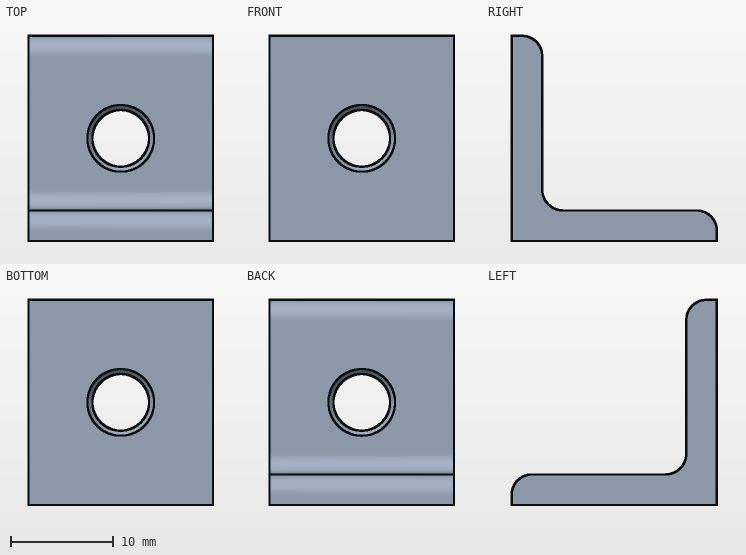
import cadquery as cq

width = 18.0
leg_length = 20.0
thickness = 3.0
round_radius = 2.0

hole_diameter = 5.5
hole_chamfer = 0.5
hole_position = leg_length / 2


def square_angle():
    """Sharp-edged L bar with its outer corner along the X axis."""
    outline = [
        (0, 0),
        (leg_length, 0),
        (leg_length, thickness),
        (thickness, thickness),
        (thickness, leg_length),
        (0, leg_length),
    ]
    return cq.Workplane("YZ").polyline(outline).close().extrude(width)


def chamfered_hole(base, axis):
    """Cutter through one leg, widening at 45 degrees towards both faces."""
    bore_radius = hole_diameter / 2
    mouth_radius = bore_radius + hole_chamfer
    bore = cq.Solid.makeCylinder(bore_radius, thickness, base, axis)
    outer_mouth = cq.Solid.makeCone(mouth_radius, bore_radius, hole_chamfer, base, axis)
    inner_mouth = cq.Solid.makeCone(
        mouth_radius, bore_radius, hole_chamfer, base + axis * thickness, axis * -1
    )
    return cq.Workplane(bore).union(cq.Workplane(outer_mouth)).union(cq.Workplane(inner_mouth))


inner_edges = cq.selectors.BoxSelector(
    (0, thickness / 2, thickness / 2),
    (width, 2 * leg_length, 2 * leg_length),
)
bracket = square_angle().edges("|X").edges(inner_edges).fillet(round_radius)

upright_hole = chamfered_hole(cq.Vector(width / 2, 0, hole_position), cq.Vector(0, 1, 0))
base_hole = chamfered_hole(cq.Vector(width / 2, hole_position, 0), cq.Vector(0, 0, 1))

result = bracket.cut(upright_hole).cut(base_hole)